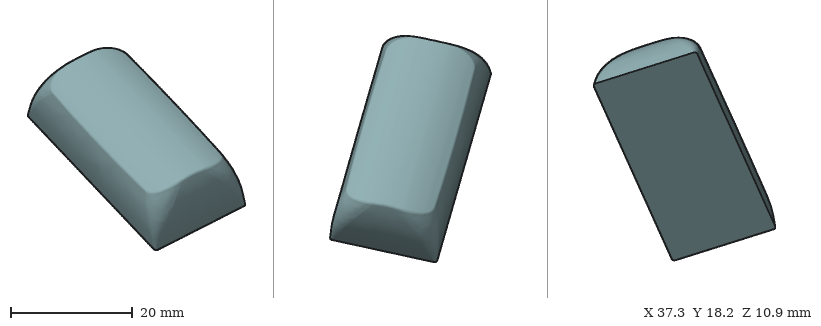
import cadquery as cq

length = 37.25
width = 18.2
height = 10.88

loft_height = 11.55
end_inset = 3.0
side_inset = 2.85
inset_power = 2.8
side_bow = 0.55
end_bow = 0.37
section_count = 6

base_corner_radius = 0.5
corner_growth = 0.38

crown_radius = 16.0
crown_overhang = 1.85
rim_radius = 0.55


def wall_section(level):
    """Rounded rectangle at a fraction `level` of the loft height, bowed above the base."""
    z = level * loft_height
    curl = level**inset_power
    half_length = length / 2 - end_inset * curl
    half_width = width / 2 - side_inset * curl
    corner_x = half_length - end_bow * curl
    corner_y = half_width - side_bow * curl
    plane = cq.Workplane("XY", origin=(0, 0, z))
    if level == 0:
        outline = plane.rect(length, width)
    else:
        outline = (
            plane.moveTo(-corner_x, -corner_y)
            .threePointArc((0, -half_width), (corner_x, -corner_y))
            .threePointArc((half_length, 0), (corner_x, corner_y))
            .threePointArc((0, half_width), (-corner_x, corner_y))
            .threePointArc((-half_length, 0), (-corner_x, -corner_y))
            .close()
        )
    wire = outline.val()
    return wire.fillet2D(base_corner_radius + corner_growth * z, wire.Vertices())


def wall_body():
    """Solid lofted through the wall sections."""
    levels = [i / (section_count - 1) for i in range(section_count)]
    return cq.Workplane(cq.Solid.makeLoft([wall_section(level) for level in levels]))


def crown():
    """Cylinder along X whose upper surface is the crowned top."""
    return (
        cq.Workplane("YZ", origin=(0, 0, height - crown_radius))
        .circle(crown_radius)
        .extrude(length / 2 + crown_overhang, both=True)
    )


body = wall_body().intersect(crown())
top_face = body.faces(cq.selectors.NearestToPointSelector((0, 0, height)))
result = top_face.edges().fillet(rim_radius).solids()